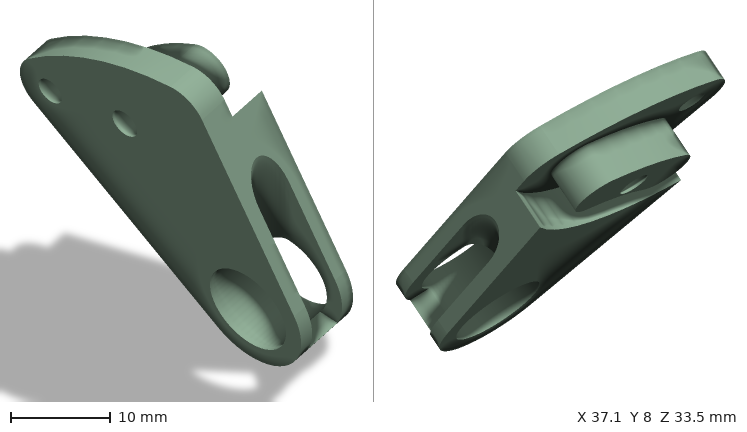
import cadquery as cq
import math

PLATE_THICKNESS = 3.5
TOTAL_THICKNESS = 8.0

HUB_RADIUS = 7.0
BORE_RADIUS = 5.0

CORNER_RADIUS = 4.0
LEFT_CORNER = (-26.1, 13.8)
TOP_CORNER = (-9.55, 22.53)
OUTER_EDGE_RADIUS = 34.25

CORNER_HOLE_RADIUS = 1.52
HEAD_HOLE_RADIUS = 1.65
HEAD_HOLE_CENTER = (-16.25, 16.25)

RELIEF_CENTER = (-27.28, 28.5)
RELIEF_RADIUS = 22.97

HEAD_OUTER_RADIUS = 27.0
HEAD_END_RADIUS = 3.0
HEAD_START_ANGLE = 120.7
HEAD_END_ANGLE = 146.3

SLOT_WIDTH = 4.6
SLOT_FLOOR_Z = -2.85


def polar(radius, degrees, center=(0, 0)):
    angle = math.radians(degrees)
    return (center[0] + radius * math.cos(angle), center[1] + radius * math.sin(angle))


def direction(start, end):
    """Angle in degrees of the line from start to end."""
    return math.degrees(math.atan2(end[1] - start[1], end[0] - start[0]))


def extrude_back(sketch, depth):
    """Extrude an XZ sketch toward +Y."""
    return sketch.extrude(-depth)


def cylinder(center, radius, depth):
    return extrude_back(cq.Workplane("XZ").center(*center).circle(radius), depth)


def outer_edge_center():
    """Center of the arc that wraps both corner rounds tangentially."""
    half_chord = math.dist(LEFT_CORNER, TOP_CORNER) / 2
    middle = ((LEFT_CORNER[0] + TOP_CORNER[0]) / 2, (LEFT_CORNER[1] + TOP_CORNER[1]) / 2)
    offset = math.sqrt((OUTER_EDGE_RADIUS - CORNER_RADIUS) ** 2 - half_chord**2)
    return polar(offset, direction(LEFT_CORNER, TOP_CORNER) - 90, middle)


def body_blank():
    """Sector-shaped blank: hub and two corner rounds joined by tangent edges."""
    origin = (0, 0)
    radius_drop = HUB_RADIUS - CORNER_RADIUS

    def side_normal(corner, side):
        lean = math.degrees(math.acos(radius_drop / math.hypot(*corner)))
        return direction(origin, corner) + side * lean

    right_normal = side_normal(TOP_CORNER, -1)
    lower_normal = side_normal(LEFT_CORNER, 1)
    edge_center = outer_edge_center()
    top_normal = direction(edge_center, TOP_CORNER)
    left_normal = direction(edge_center, LEFT_CORNER)
    hub_middle = (lower_normal + right_normal + 360) / 2

    def arc_points(center, radius, start, end):
        return polar(radius, (start + end) / 2, center), polar(radius, end, center)

    outline = (
        cq.Workplane("XZ")
        .moveTo(*polar(HUB_RADIUS, right_normal))
        .lineTo(*polar(CORNER_RADIUS, right_normal, TOP_CORNER))
        .threePointArc(*arc_points(TOP_CORNER, CORNER_RADIUS, right_normal, top_normal))
        .threePointArc(*arc_points(edge_center, OUTER_EDGE_RADIUS, top_normal, left_normal))
        .threePointArc(*arc_points(LEFT_CORNER, CORNER_RADIUS, left_normal, lower_normal))
        .lineTo(*polar(HUB_RADIUS, lower_normal))
        .threePointArc(polar(HUB_RADIUS, hub_middle), polar(HUB_RADIUS, right_normal))
        .close()
    )
    return extrude_back(outline, TOTAL_THICKNESS)


def relief():
    depth = TOTAL_THICKNESS - PLATE_THICKNESS
    return cylinder(RELIEF_CENTER, RELIEF_RADIUS, depth).translate((0, PLATE_THICKNESS, 0))


def head():
    """Curved rib concentric with the pivot, running through the full thickness."""
    inner_radius = HEAD_OUTER_RADIUS - 2 * HEAD_END_RADIUS
    middle_radius = HEAD_OUTER_RADIUS - HEAD_END_RADIUS
    middle_angle = (HEAD_START_ANGLE + HEAD_END_ANGLE) / 2
    start_center = polar(middle_radius, HEAD_START_ANGLE)
    end_center = polar(middle_radius, HEAD_END_ANGLE)
    outline = (
        cq.Workplane("XZ")
        .moveTo(*polar(HEAD_OUTER_RADIUS, HEAD_START_ANGLE))
        .threePointArc(polar(HEAD_OUTER_RADIUS, middle_angle), polar(HEAD_OUTER_RADIUS, HEAD_END_ANGLE))
        .threePointArc(polar(HEAD_END_RADIUS, HEAD_END_ANGLE + 90, end_center),
                       polar(inner_radius, HEAD_END_ANGLE))
        .threePointArc(polar(inner_radius, middle_angle), polar(inner_radius, HEAD_START_ANGLE))
        .threePointArc(polar(HEAD_END_RADIUS, HEAD_START_ANGLE - 90, start_center),
                       polar(HEAD_OUTER_RADIUS, HEAD_START_ANGLE))
        .close()
    )
    return extrude_back(outline, TOTAL_THICKNESS)


def hub_slot():
    """Vertical slot with a round end over the pivot, open toward +X and +Z."""
    length = 2 * HUB_RADIUS
    height = 3 * HUB_RADIUS
    middle_y = TOTAL_THICKNESS / 2
    floor = cq.Workplane("XY", origin=(0, middle_y, SLOT_FLOOR_Z))
    round_end = floor.circle(SLOT_WIDTH / 2).extrude(height)
    channel = floor.rect(length, SLOT_WIDTH).extrude(height).translate((length / 2, 0, 0))
    return round_end.union(channel)


result = (
    body_blank()
    .cut(relief())
    .union(head())
    .cut(cylinder((0, 0), BORE_RADIUS, TOTAL_THICKNESS))
    .cut(cylinder(LEFT_CORNER, CORNER_HOLE_RADIUS, TOTAL_THICKNESS))
    .cut(cylinder(HEAD_HOLE_CENTER, HEAD_HOLE_RADIUS, TOTAL_THICKNESS))
    .cut(hub_slot())
)